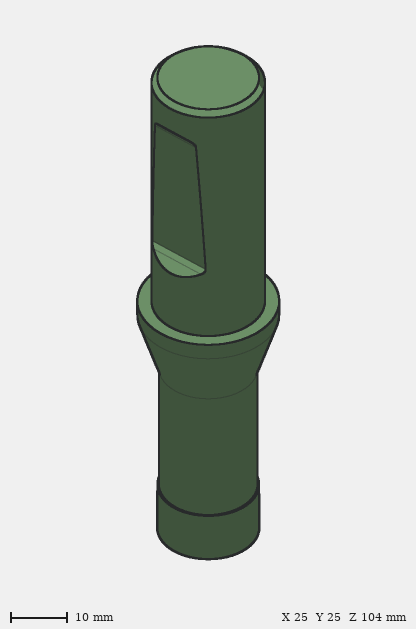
import cadquery as cq
import math

total_height = 104.0
cone_height = 3.3
tip_height = 13.0
neck_top = 39.0
taper_top = 51.0
collar_top = 54.1

tip_diameter = 18.0
tip_top_diameter = 17.9
neck_diameter = 17.4
collar_diameter = 25.0
shank_diameter = 20.0
shank_chamfer = 1.0

flat_bottom = 68.3
flat_top = 96.7
flat_bottom_depth = 2.2
flat_tilt = 2.0
ramp_angle = 45.0
corner_radius = 1.7
clearance = 1.0


def make_tip():
    """Short back-tapered body ending in a shallow conical point."""
    radius = tip_diameter / 2
    top_radius = tip_top_diameter / 2
    return (
        cq.Workplane("XZ")
        .polyline([(0, 0), (radius, cone_height), (top_radius, tip_height), (0, tip_height)])
        .close()
        .revolve(360, (0, 0), (0, 1))
    )


def make_flat_cutter():
    """Prism along X that removes the tilted flat and its two end ramps."""
    floor_bottom = flat_bottom_depth - shank_diameter / 2
    floor_top = floor_bottom - (flat_top - flat_bottom) * math.tan(math.radians(flat_tilt))
    outer = -shank_diameter / 2 - clearance
    ramp_slope = math.tan(math.radians(ramp_angle))
    lower_end = flat_bottom - (floor_bottom - outer) * ramp_slope
    upper_end = flat_top + (floor_top - outer) * ramp_slope
    cutter = (
        cq.Workplane("YZ")
        .polyline([
            (outer, lower_end),
            (floor_bottom, flat_bottom),
            (floor_top, flat_top),
            (outer, upper_end),
        ])
        .close()
        .extrude(shank_diameter / 2, both=True)
    )
    floor_corners = cutter.edges("|X").edges(">Y or >>Y[-2]")
    return floor_corners.fillet(corner_radius)


def make_holder():
    """Neck, tapered collar and shank, turned in one piece, with the flat cut in."""
    neck_radius = neck_diameter / 2
    collar_radius = collar_diameter / 2
    shank_radius = shank_diameter / 2
    body = (
        cq.Workplane("XZ")
        .polyline([
            (0, tip_height),
            (neck_radius, tip_height),
            (neck_radius, neck_top),
            (collar_radius, taper_top),
            (collar_radius, collar_top),
            (shank_radius, collar_top),
            (shank_radius, total_height - shank_chamfer),
            (shank_radius - shank_chamfer, total_height),
            (0, total_height),
        ])
        .close()
        .revolve(360, (0, 0), (0, 1))
    )
    return body.cut(make_flat_cutter())


tip = make_tip()
holder = make_holder()
result = cq.Compound.makeCompound([holder.val(), tip.val()])